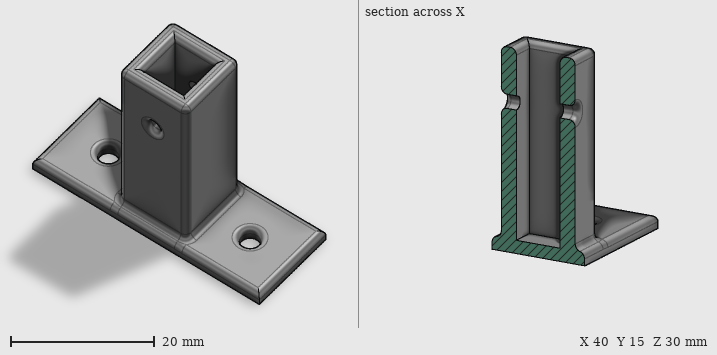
import cadquery as cq

plate_length = 40.0
plate_width = 15.0
plate_thickness = 2.0

total_height = 30.0
tower_side = 12.0
socket_side = 7.0
socket_floor = plate_thickness

edge_radius = 1.0

mount_hole_diameter = 3.0
mount_hole_spacing = 25.0
pin_hole_diameter = 2.0
pin_hole_drop = 8.0
pin_hole_height = total_height - pin_hole_drop


def upright_block(length, width, bottom, top):
    """Box centred on the Z axis, spanning bottom to top."""
    block = cq.Workplane("XY").workplane(offset=bottom)
    return block.rect(length, width).extrude(top - bottom)


def make_rounded_body():
    """Plate and solid tower with rounded corners, rim, root and plate edges."""
    plate = upright_block(plate_length, plate_width, 0, plate_thickness)
    tower = upright_block(tower_side, tower_side, 0, total_height)
    body = plate.union(tower)

    reach = tower_side / 2 + edge_radius
    tower_edges = cq.selectors.BoxSelector(
        (-reach, -reach, plate_thickness - edge_radius),
        (reach, reach, total_height + edge_radius),
    )
    body = body.edges(tower_edges).fillet(edge_radius)

    plate_sides = body.faces("<X or >X or <Y or >Y")
    return plate_sides.edges("|X or |Y").edges(">Z").fillet(edge_radius)


def cut_socket(body):
    """Square socket with a rounded mouth and a flat floor level with the plate top."""
    socket = upright_block(socket_side, socket_side, socket_floor, total_height)
    body = body.cut(socket)
    reach = socket_side / 2 + edge_radius / 2
    mouth_edges = cq.selectors.BoxSelector(
        (-reach, -reach, total_height - edge_radius),
        (reach, reach, total_height + edge_radius),
    )
    return body.edges(mouth_edges).fillet(edge_radius)


def flared_cutter(diameter, depth):
    """Round cutter running down from Z = 0, its top flared by a quarter-round."""
    radius = diameter / 2
    mouth_radius = radius + edge_radius
    profile = (
        cq.Workplane("XZ")
        .moveTo(0, 0)
        .lineTo(mouth_radius, 0)
        .radiusArc((radius, -edge_radius), -edge_radius)
        .lineTo(radius, -depth)
        .lineTo(0, -depth)
        .close()
    )
    return profile.revolve(360, (0, 0, 0), (0, 1, 0))


def cut_mount_holes(body):
    """Plate holes on either side of the tower, flared at the plate top."""
    cutter = flared_cutter(mount_hole_diameter, plate_thickness)
    for side in (-1, 1):
        body = body.cut(cutter.translate((side * mount_hole_spacing / 2, 0, plate_thickness)))
    return body


def cut_pin_hole(body):
    """Hole along Y through both tower walls, flared at each outer face."""
    cutter = flared_cutter(pin_hole_diameter, tower_side / 2)
    for side in (-1, 1):
        sideways = cutter.rotate((0, 0, 0), (1, 0, 0), -90 * side)
        body = body.cut(sideways.translate((0, side * tower_side / 2, pin_hole_height)))
    return body


body = make_rounded_body()
body = cut_socket(body)
body = cut_mount_holes(body)
result = cut_pin_hole(body)